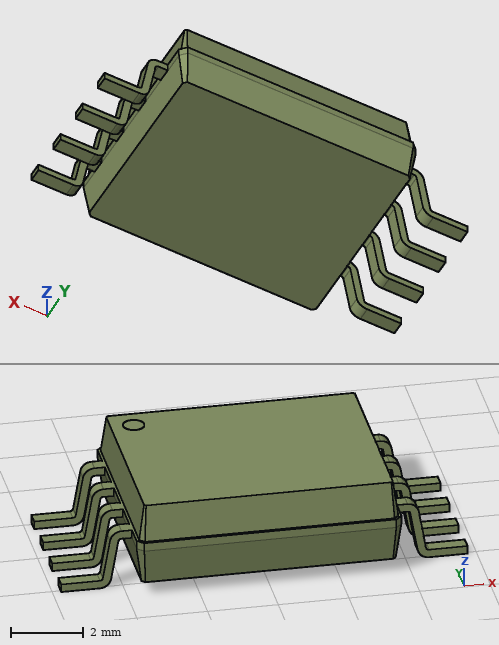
import cadquery as cq
import math


span_x = 11.5
body_y = 5.85
height = 2.8

body_x = 7.5
body_bottom = 0.43
body_corner = 0.18
upper_inset = 0.08
draft = 8.0

leads_per_side = 4
pitch = 1.26
lead_width = 0.4
lead_thickness = 0.24
lead_top = 1.74
foot_length = 1.09
bend_radius = 0.086
leg_lean = 10.0
lead_embed = 0.23

mark_diameter = 0.6
mark_depth = 0.01
mark_x = -2.86
mark_y = 2.05

band_top = lead_top
band_bottom = lead_top - lead_thickness


def chamfered_outline(z, inset=0.0):
    """Body outline at height z, moved inwards by the same distance on all eight sides."""
    corner = body_corner - inset * (2 - math.sqrt(2))
    half_x = body_x / 2 - inset
    half_y = body_y / 2 - inset
    points = [
        (half_x, half_y - corner),
        (half_x - corner, half_y),
        (corner - half_x, half_y),
        (-half_x, half_y - corner),
        (-half_x, corner - half_y),
        (corner - half_x, -half_y),
        (half_x - corner, -half_y),
        (half_x, corner - half_y),
    ]
    return cq.Workplane("XY").workplane(offset=z).polyline(points).close()


def make_half(z_wide, z_narrow, inset):
    """Drafted half of the body, narrowing away from the parting band."""
    narrowing = abs(z_narrow - z_wide) * math.tan(math.radians(draft))
    wide = chamfered_outline(z_wide, inset).wire().val()
    narrow = chamfered_outline(z_narrow, inset + narrowing).wire().val()
    return cq.Workplane(cq.Solid.makeLoft([wide, narrow], True))


def make_body():
    band = chamfered_outline(band_bottom).extrude(lead_thickness)
    upper = make_half(band_top, height, upper_inset)
    lower = make_half(band_bottom, body_bottom, 0.0)
    return band.union(upper).union(lower)


def make_left_lead():
    """Lead centred on Y = 0: a strip swept along foot, bend, leg, bend and shoulder."""
    mid_radius = bend_radius + lead_thickness / 2
    turn = math.radians(90 - leg_lean)
    bend_run = mid_radius * math.sin(turn)
    bend_rise = mid_radius * (1 - math.cos(turn))
    half_run = mid_radius * math.sin(turn / 2)
    half_rise = mid_radius * (1 - math.cos(turn / 2))

    foot_z = lead_thickness / 2
    shoulder_z = lead_top - lead_thickness / 2
    leg_rise = shoulder_z - foot_z - 2 * bend_rise
    leg_run = leg_rise / math.tan(turn)

    toe_x = -span_x / 2
    heel_x = toe_x + foot_length
    shoulder_x = heel_x + 2 * bend_run + leg_run

    centre_line = (
        cq.Workplane("XZ")
        .moveTo(toe_x, foot_z)
        .lineTo(heel_x, foot_z)
        .threePointArc((heel_x + half_run, foot_z + half_rise), (heel_x + bend_run, foot_z + bend_rise))
        .lineTo(shoulder_x - bend_run, shoulder_z - bend_rise)
        .threePointArc((shoulder_x - half_run, shoulder_z - half_rise), (shoulder_x, shoulder_z))
        .lineTo(lead_embed - body_x / 2, shoulder_z)
    )
    section = cq.Workplane("YZ", origin=(toe_x, 0, foot_z)).rect(lead_width, lead_thickness)
    return section.sweep(centre_line)


def make_pin_mark():
    return (
        cq.Workplane("XY", origin=(mark_x, mark_y, height - mark_depth))
        .circle(mark_diameter / 2)
        .extrude(mark_depth)
    )


result = make_body().cut(make_pin_mark())

left_lead = make_left_lead()
right_lead = left_lead.mirror("YZ")
for position in range(leads_per_side):
    lead_y = (position - (leads_per_side - 1) / 2) * pitch
    for lead in (left_lead, right_lead):
        result = result.union(lead.translate((0, lead_y, 0)))